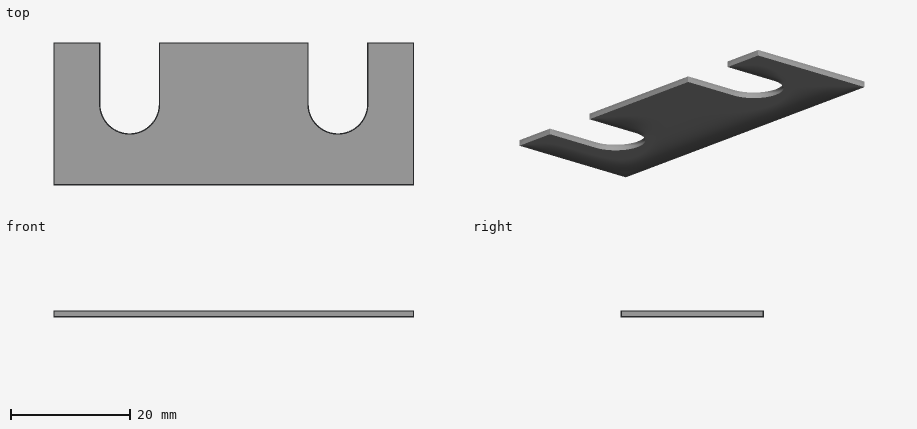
import cadquery as cq

plate_length = 60.45
plate_width = 23.88
plate_thickness = 1.0

slot_width = 10.0
slot_spacing = 35.0
slot_depth = 15.3


def make_plate():
    """Flat rectangular plate centred on the Z axis."""
    return cq.Workplane("XY").box(plate_length, plate_width, plate_thickness)


def make_slot(center_x):
    """Cutter for one slot: straight sides ending in a half circle."""
    radius = slot_width / 2
    open_y = plate_width / 2
    bottom_y = open_y - slot_depth
    arc_center_y = bottom_y + radius
    return (
        cq.Workplane("XY")
        .moveTo(center_x - radius, open_y)
        .lineTo(center_x - radius, arc_center_y)
        .threePointArc((center_x, bottom_y), (center_x + radius, arc_center_y))
        .lineTo(center_x + radius, open_y)
        .close()
        .extrude(plate_thickness, both=True)
    )


result = make_plate()
for side in (-1, 1):
    result = result.cut(make_slot(side * slot_spacing / 2))